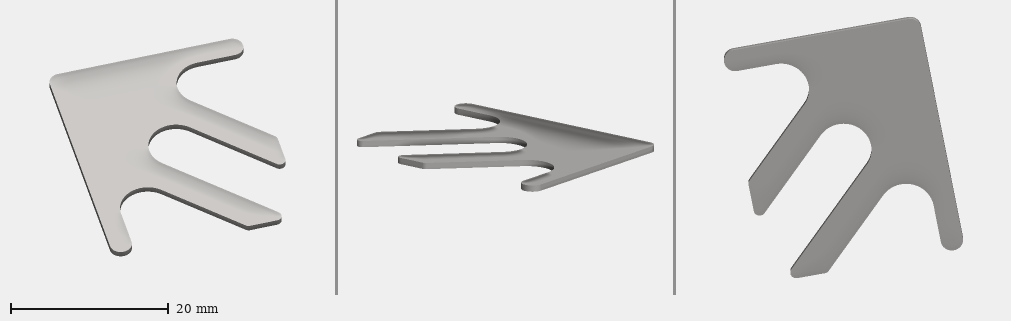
import cadquery as cq
import math

length = 31.5
width = 25.4
thickness = 0.82

arm_width = 2.85
slot_radius = 3.53
slot_angle = 45
slot_reach = length

arm_corner_radius = 1.4
finger_corner_radius = 0.75

upper_center = (arm_width + slot_radius, 18.95)
lower_center = (25.1, arm_width + slot_radius)
middle_center = (
    (upper_center[0] + lower_center[0]) / 2,
    (upper_center[1] + lower_center[1]) / 2,
)


def slot_cutter(center, angle):
    """Slot with a round bottom at center, running outward at the given angle."""
    bottom = cq.Workplane("XY").center(*center).circle(slot_radius).extrude(thickness)
    channel = (
        cq.Workplane("XY")
        .rect(slot_reach, 2 * slot_radius)
        .extrude(thickness)
        .translate((slot_reach / 2, 0, 0))
        .rotate((0, 0, 0), (0, 0, 1), angle)
        .translate((center[0], center[1], 0))
    )
    return bottom.union(channel)


def round_corners(body, corners, radius):
    """Fillet the upright edges nearest to the given plan positions."""
    for x, y in corners:
        edge = cq.selectors.NearestToPointSelector((x, y, thickness / 2))
        body = body.newObject(body.edges("|Z").edges(edge).vals()).fillet(radius)
    return body


plate = cq.Workplane("XY").box(length, width, thickness, centered=False)

for slot_center in (upper_center, middle_center, lower_center):
    plate = plate.cut(slot_cutter(slot_center, slot_angle))

plate = plate.cut(slot_cutter(upper_center, 90))
plate = plate.cut(slot_cutter(lower_center, 0))

arm_corners = [
    (0, 0),
    (0, width),
    (arm_width, width),
    (length, 0),
    (length, arm_width),
]
plate = round_corners(plate, arm_corners, arm_corner_radius)

wall_offset = slot_radius * math.sqrt(2)
upper_line = upper_center[1] - upper_center[0]
middle_line = middle_center[1] - middle_center[0]
lower_line = lower_center[1] - lower_center[0]
finger_corners = [
    (width - (upper_line - wall_offset), width),
    (width - (middle_line + wall_offset), width),
    (length, length + middle_line - wall_offset),
    (length, length + lower_line + wall_offset),
]
result = round_corners(plate, finger_corners, finger_corner_radius)